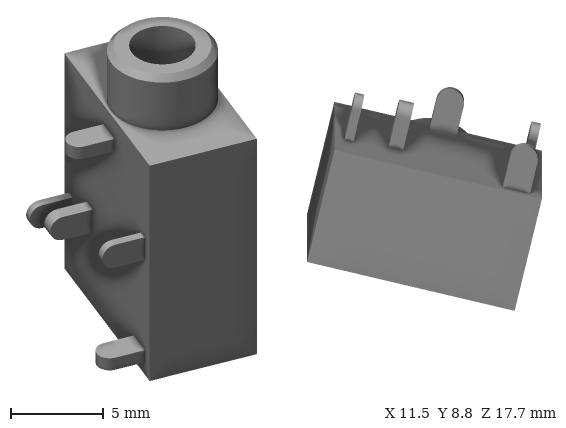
import cadquery as cq

TOTAL_HEIGHT = 17.7
BODY_WIDTH = 11.5
BODY_DEPTH = 6.3
TOTAL_DEPTH = 8.8

BARREL_DIAMETER = 6.0
BARREL_HEIGHT = 3.5
BARREL_CHAMFER = 0.35
BORE_DIAMETER = 3.6
BORE_DEPTH = BARREL_HEIGHT

BODY_HEIGHT = TOTAL_HEIGHT - BARREL_HEIGHT
BODY_LEFT = -6.0
BODY_FRONT = -BODY_DEPTH / 2

PIN_LENGTH = TOTAL_DEPTH - BODY_DEPTH
PIN_WIDTH = 1.5
THICK_PIN = 0.8
THIN_PIN = 0.5

PINS = [
    (0.0, 12.5, THICK_PIN, False),
    (4.6, 8.3, THIN_PIN, True),
    (-2.58, 5.6, THICK_PIN, True),
    (-5.19, 4.6, THIN_PIN, True),
    (4.09, 1.2, THICK_PIN, False),
]


def make_housing():
    """Rectangular housing with a chamfered barrel and a blind plug bore."""
    body = cq.Workplane("XY").box(BODY_WIDTH, BODY_DEPTH, BODY_HEIGHT, centered=False)
    body = body.translate((BODY_LEFT, BODY_FRONT, 0))
    barrel = (
        cq.Workplane("XY", origin=(0, 0, BODY_HEIGHT))
        .circle(BARREL_DIAMETER / 2)
        .extrude(BARREL_HEIGHT)
        .faces(">Z")
        .chamfer(BARREL_CHAMFER)
    )
    bore = (
        cq.Workplane("XY", origin=(0, 0, TOTAL_HEIGHT - BORE_DEPTH))
        .circle(BORE_DIAMETER / 2)
        .extrude(BORE_DEPTH)
    )
    return body.union(barrel).cut(bore)


def make_pin(center_x, center_z, thickness, upright):
    """Flat pin standing out of the housing front face toward -Y."""
    half_width = PIN_WIDTH / 2
    straight_length = PIN_LENGTH - half_width
    pin = (
        cq.Workplane("XY")
        .moveTo(-half_width, 0)
        .lineTo(-half_width, -straight_length)
        .threePointArc((0, -PIN_LENGTH), (half_width, -straight_length))
        .lineTo(half_width, 0)
        .close()
        .extrude(thickness / 2, both=True)
    )
    if upright:
        pin = pin.rotate((0, 0, 0), (0, 1, 0), 90)
    return pin.translate((center_x, BODY_FRONT, center_z))


housing = make_housing()
pins = [make_pin(*placement) for placement in PINS]

result = cq.Compound.makeCompound([housing.val(), *[pin.val() for pin in pins]])